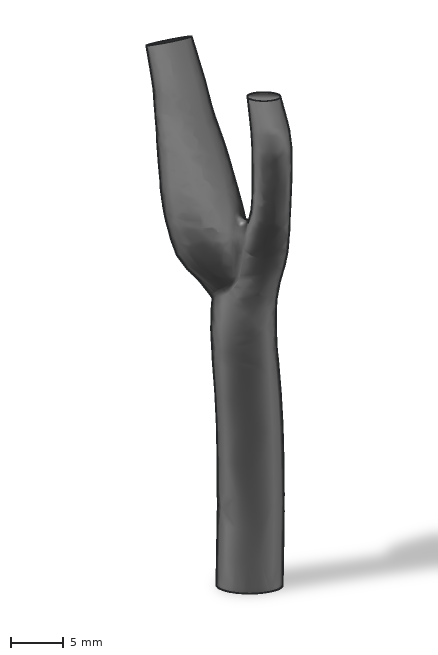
import cadquery as cq
import math

OUTER_VESSEL_STATIONS = [
    (6.5, 9.7, 0, 3.2, 3.2),
    (7.2, 9.25, 8.75, 3.2, 3.2),
    (8.0, 8.35, 17.55, 3.05, 3.25),
    (8.65, 7.0, 26.3, 3.2, 3.05),
    (9.15, 6.85, 30.15, 3.1, 2.95),
    (10.2, 7.1, 32.9, 2.85, 2.75),
    (11.4, 7.0, 35.05, 2.45, 2.4),
    (12.75, 6.4, 37.25, 2.1, 2.1),
    (13.7, 6.0, 39.45, 1.8, 1.9),
    (14.45, 5.4, 43.85, 1.9, 1.85),
    (14.75, 5.05, 47.15, 1.9, 1.8),
    (14.05, 4.75, 50.9, 1.6, 1.6),
]
INNER_VESSEL_STATIONS = [
    (8.2, 6.7, 29.05, 2.2, 1.65),
    (7.55, 5.8, 31.25, 3.2, 2.5),
    (6.95, 4.95, 33.45, 3.65, 3.45),
    (6.65, 4.35, 36.15, 3.9, 3.8),
    (6.1, 3.85, 39.45, 3.8, 3.7),
    (5.3, 3.45, 43.85, 3.3, 3.35),
    (4.45, 3.2, 47.7, 2.7, 2.9),
    (3.5, 3.35, 50.4, 2.6, 2.5),
    (1.2, 3.4, 56.45, 2.2, 2.1),
]
SECTION_SPACING = 1.65
POINTS_PER_SECTION = 8

JUNCTION_FILLET = 0.9
JUNCTION_BOX_LOW = (2.75, 0, 28.5)
JUNCTION_BOX_HIGH = (13.7, 12.6, 38.35)

CAP_CENTRE = (2.15, 3.4, 54.2)
CAP_LEAN = 17
CAP_CUTTER_SIZE = 7.65


def slope(before, after):
    """Change of every station value per unit of height between two stations."""
    rise = after[2] - before[2]
    return [(b - a) / rise for a, b in zip(before, after)]


def blend(start, end, start_slope, end_slope, t):
    """Cubic between two stations at fraction t, with the given slope at each end."""
    rise = end[2] - start[2]
    start_share = 1 - 3 * t**2 + 2 * t**3
    end_share = 1 - start_share
    start_pull = rise * t * (1 - t) ** 2
    end_pull = -rise * t**2 * (1 - t)
    return [
        start_share * a + end_share * b + start_pull * sa + end_pull * sb
        for a, b, sa, sb in zip(start, end, start_slope, end_slope)
    ]


def section_at(stations, z):
    """Smoothly interpolated centre and radii of a vessel at height z."""
    last = len(stations) - 1
    slopes = [slope(stations[max(i - 1, 0)], stations[min(i + 1, last)]) for i in range(last + 1)]
    i = max(k for k in range(last) if stations[k][2] <= z)
    t = (z - stations[i][2]) / (stations[i + 1][2] - stations[i][2])
    return blend(stations[i], stations[i + 1], slopes[i], slopes[i + 1], t)


def section_wire(x, y, z, radius_x, radius_y):
    """Horizontal oval; its seam starts on the +X side so neighbouring sections line up."""
    angles = [2 * math.pi * i / POINTS_PER_SECTION for i in range(POINTS_PER_SECTION)]
    points = [(x + radius_x * math.cos(a), y + radius_y * math.sin(a)) for a in angles]
    return cq.Workplane(origin=(0, 0, z)).spline(points, periodic=True).close().wires().val()


def vessel(stations):
    """Solid lofted through evenly spaced sections of a vessel."""
    bottom = stations[0][2]
    height = stations[-1][2] - bottom
    count = round(height / SECTION_SPACING)
    heights = [bottom + height * i / count for i in range(count + 1)]
    wires = [section_wire(*section_at(stations, z)) for z in heights]
    return cq.Workplane(cq.Solid.makeLoft(wires))


def cap_cutter():
    """Block standing on the leaning cap plane."""
    plane = cq.Plane(origin=CAP_CENTRE).rotated((0, -CAP_LEAN, 0))
    return cq.Workplane(plane).rect(CAP_CUTTER_SIZE, CAP_CUTTER_SIZE).extrude(CAP_CUTTER_SIZE)


def blend_junction(joined):
    """Round the edge where the bulb meets the outer vessel; it is the only edge centred in the box."""
    box = cq.selectors.BoxSelector(JUNCTION_BOX_LOW, JUNCTION_BOX_HIGH)
    return joined.edges(box).fillet(JUNCTION_FILLET)


outer_vessel = vessel(OUTER_VESSEL_STATIONS)
inner_vessel = vessel(INNER_VESSEL_STATIONS).cut(cap_cutter())
result = blend_junction(outer_vessel.union(inner_vessel))